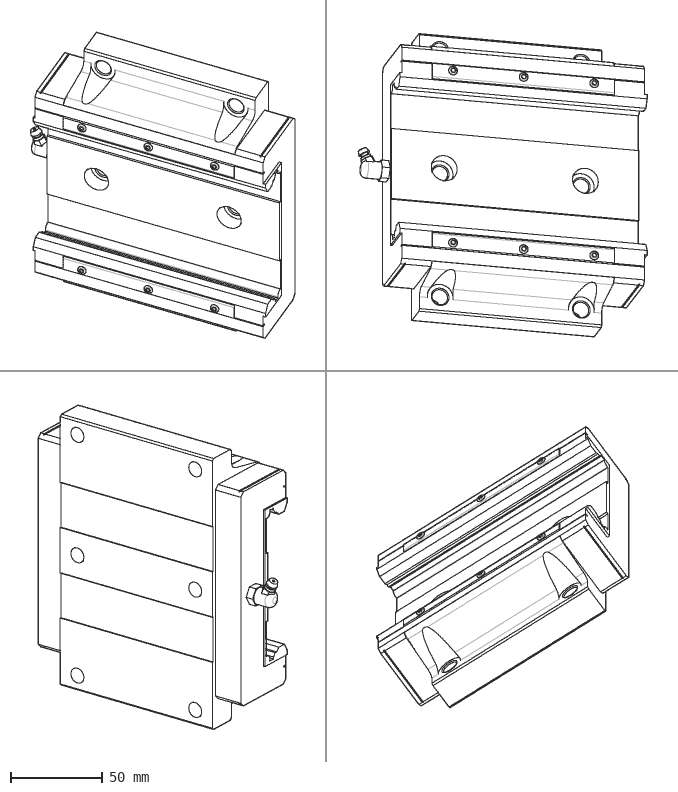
import cadquery as cq
import math


BODY_LENGTH = 103.4
BODY_WIDTH = 162.0
FLANGE_DEPTH = 17.8
FLANGE_CHAMFER = 1.1
FLANGE_ROOT = 69.0
FLANGE_FILLET = 4.7
LEG_SLOPE = 10.0
LEG_DEPTH = 44.9
LEG_FILLET = 4.0
RELIEF_INNER = 13.6
RELIEF_OUTER = 40.5
RELIEF_DEPTH = 0.6

CAP_LENGTH = 137.7
CAP_WIDTH = 128.0
CAP_BACK = 2.9
CAP_CHAMFER = 2.5
CAP_GROOVE_INSET = 2.3
CAP_GROOVE_WIDTH = 0.5
CAP_GROOVE_DEPTH = 0.5

LINER_LEFT = -69.8
LINER_RIGHT = 70.3
LINER_BACK = 24.0
LINER_WIDTH = 93.6
CHANNEL_DEPTH = 25.5
PAD_DEPTH = 26.7
PAD_WIDTH = 40.8
CHANNEL_HALF_WIDTH = 41.1
GROOVE_BACK = 28.8
GROOVE_FRONT = 32.0
GROOVE_FLOOR = 45.0
GROOVE_ROUND = 3.0
LIP_HALF_GAP = 39.7
LIP_CREST_BACK = 37.0
LIP_CREST_FRONT = 42.1
LIP_STEP = 41.8
LIP_STEP_BACK = 33.5
LIP_STEP_FRONT = 35.0
LIP_INNER_SHOULDER = 43.9
LIP_OUTER_SHOULDER = 44.2

STRIP_INNER = 44.7
STRIP_OUTER = 53.5
STRIP_FACE = 45.5
STRIP_FILLET = 1.1
PARTING_WIDTH = 0.57
PARTING_DEPTH = 1.6
SCREW_HALF_WIDTH = 50.2
SCREW_RADIUS = 2.5
SCREW_TOP = 46.7
SCREW_FILLET = 0.6
SOCKET_SIZE = 2.6
SOCKET_DEPTH = 0.6

HOLE_PITCH = 80.0
HOLE_HALF_WIDTH = 72.0
HOLE_RADIUS = 4.4
HOLE_CHAMFER = 0.6
COUNTERBORE_RADIUS = 7.3

FITTING_DEPTH = 14.0
NUT_ACROSS_CORNERS = 12.0
NUT_FACE = -73.2
ELBOW_RADIUS = 4.9
ELBOW_END = -83.9
ELBOW_ROUND = 3.0
NIPPLE_X = -77.6
NIPPLE_TILT = 26.0
COLLAR_ACROSS_CORNERS = 7.6
COLLAR_TOP = 7.0
SHOULDER_RADIUS = 2.9
SHOULDER_TOP = 8.5
NECK_RADIUS = 2.0
HEAD_BASE = 10.0
HEAD_BASE_RADIUS = 3.2
HEAD_TOP = 12.6
HEAD_TOP_RADIUS = 2.5
INLET_RADIUS = 0.6
INLET_DEPTH = 1.0

HOLE_XS = (-HOLE_PITCH / 2, HOLE_PITCH / 2)
SCREW_XS = (-HOLE_PITCH / 2, 0, HOLE_PITCH / 2)
SIDES = (-1, 1)


def box(x0, x1, depth0, depth1, z0, z1):
    """Box between two X values, two depths and two Z values."""
    block = cq.Workplane("XY").box(x1 - x0, depth1 - depth0, z1 - z0, centered=False)
    return block.translate((x0, -depth1, z0))


def extrude_section(half_outline, x0, x1):
    """Mirror (depth, z) points about Z = 0 and extrude the closed section along X."""
    mirrored = [(depth, -z) for depth, z in reversed(half_outline)]
    points = [(-depth, z) for depth, z in half_outline + mirrored]
    return cq.Workplane("YZ").polyline(points).close().extrude(x1 - x0).translate((x0, 0, 0))


def cylinder(radius, x, z, depth0, depth1):
    """Cylinder along Y between two depths."""
    return cq.Workplane("XZ", origin=(x, -depth0, z)).circle(radius).extrude(depth1 - depth0)


def parting_groove(side, half_length):
    """Narrow groove along the outer edge of a retainer strip."""
    z_mid = side * (STRIP_OUTER + PARTING_WIDTH / 2)
    return box(
        -half_length, half_length,
        LEG_DEPTH - PARTING_DEPTH, STRIP_FACE,
        z_mid - PARTING_WIDTH / 2, z_mid + PARTING_WIDTH / 2,
    )


def long_edges_at(solid, depth, half_z):
    """Select the pair of X-parallel edges at a depth and at Z = +/- half_z."""
    reach = 0.2
    selector = None
    for side in SIDES:
        corner = cq.selectors.BoxSelector(
            (-BODY_LENGTH, -depth - reach, side * half_z - reach),
            (BODY_LENGTH, -depth + reach, side * half_z + reach),
        )
        selector = corner if selector is None else selector + corner
    return solid.edges("|X").edges(selector)


def make_body():
    """Flanged body with sloping legs and two reliefs in the mounting face."""
    half_width = BODY_WIDTH / 2
    leg_corner = FLANGE_ROOT - (LEG_DEPTH - FLANGE_DEPTH) * math.tan(math.radians(LEG_SLOPE))
    body = extrude_section(
        [
            (0, half_width),
            (FLANGE_DEPTH, half_width),
            (FLANGE_DEPTH, FLANGE_ROOT),
            (LEG_DEPTH, leg_corner),
            (LEG_DEPTH, LINER_WIDTH / 2),
            (LINER_BACK, LINER_WIDTH / 2),
        ],
        -BODY_LENGTH / 2, BODY_LENGTH / 2,
    )
    for depth in (0, FLANGE_DEPTH):
        body = long_edges_at(body, depth, half_width).chamfer(FLANGE_CHAMFER)
    body = long_edges_at(body, FLANGE_DEPTH, FLANGE_ROOT).fillet(FLANGE_FILLET)
    body = long_edges_at(body, LEG_DEPTH, leg_corner).fillet(LEG_FILLET)
    for side in SIDES:
        z_low, z_high = sorted((side * RELIEF_INNER, side * RELIEF_OUTER))
        body = body.cut(box(-BODY_LENGTH / 2, BODY_LENGTH / 2, 0, RELIEF_DEPTH, z_low, z_high))
    return body


def make_caps():
    """C-shaped end caps, drawn as one length that the body sits inside."""
    half_length = CAP_LENGTH / 2
    half_width = CAP_WIDTH / 2
    caps = extrude_section(
        [
            (CAP_BACK, half_width - CAP_CHAMFER),
            (CAP_BACK + CAP_CHAMFER, half_width),
            (LEG_DEPTH - CAP_CHAMFER, half_width),
            (LEG_DEPTH, half_width - CAP_CHAMFER),
            (LEG_DEPTH, LINER_WIDTH / 2),
            (LINER_BACK, LINER_WIDTH / 2),
        ],
        -half_length, half_length,
    )
    groove_start = half_length - CAP_GROOVE_INSET - CAP_GROOVE_WIDTH
    for end in SIDES:
        x0, x1 = sorted((end * groove_start, end * (groove_start + CAP_GROOVE_WIDTH)))
        for side in SIDES:
            z0, z1 = sorted((side * half_width, side * (half_width - CAP_GROOVE_DEPTH)))
            caps = caps.cut(box(x0, x1, CAP_BACK, LEG_DEPTH, z0, z1))
    return caps


def make_liner():
    """Channel lining with a raised central pad and a grooved lip on each side."""
    blank = extrude_section(
        [
            (LINER_BACK, LINER_WIDTH / 2),
            (LEG_DEPTH, LINER_WIDTH / 2),
            (LEG_DEPTH, LIP_OUTER_SHOULDER),
            (LIP_CREST_FRONT, LIP_HALF_GAP),
            (LIP_CREST_BACK, LIP_HALF_GAP),
            (LIP_STEP_FRONT, LIP_STEP),
            (LIP_STEP_BACK, LIP_STEP),
            (GROOVE_FRONT, LIP_INNER_SHOULDER),
            (GROOVE_FRONT, GROOVE_FLOOR),
            (GROOVE_BACK, GROOVE_FLOOR),
            (GROOVE_BACK, CHANNEL_HALF_WIDTH),
            (CHANNEL_DEPTH, CHANNEL_HALF_WIDTH),
            (CHANNEL_DEPTH, PAD_WIDTH / 2),
            (PAD_DEPTH, PAD_WIDTH / 2),
        ],
        LINER_LEFT, LINER_RIGHT,
    )
    return long_edges_at(blank, GROOVE_BACK, CHANNEL_HALF_WIDTH).fillet(GROOVE_ROUND)


def make_strip(side):
    """Retainer strip standing slightly proud of the leg face."""
    z0, z1 = sorted((side * STRIP_INNER, side * STRIP_OUTER))
    strip = box(-BODY_LENGTH / 2, BODY_LENGTH / 2, LEG_DEPTH - PARTING_DEPTH, STRIP_FACE, z0, z1)
    inner_edge = "<Z" if side > 0 else ">Z"
    return strip.faces("<Y").edges(inner_edge).fillet(STRIP_FILLET)


def make_screw(x, z):
    """Button-head screw with a hexagon socket."""
    head = cylinder(SCREW_RADIUS, x, z, LEG_DEPTH, SCREW_TOP).faces("<Y").edges().fillet(SCREW_FILLET)
    socket = cq.Workplane("XZ", origin=(x, -(SCREW_TOP - SOCKET_DEPTH), z)).polygon(6, SOCKET_SIZE)
    return head.cut(socket.extrude(SOCKET_DEPTH))


def make_hole(x, z):
    """Counterbored through hole with a small chamfer at the counterbore floor."""
    drill = cylinder(HOLE_RADIUS, x, z, 0, FLANGE_DEPTH)
    counterbore = cylinder(COUNTERBORE_RADIUS, x, z, FLANGE_DEPTH, LEG_DEPTH)
    chamfer = (
        cq.Workplane("XZ", origin=(x, -FLANGE_DEPTH, z))
        .circle(HOLE_RADIUS + HOLE_CHAMFER)
        .extrude(-HOLE_CHAMFER, taper=45)
    )
    return drill.union(counterbore).union(chamfer)


def make_nipple():
    """Hexagon collar, shoulder, neck and tapered head about +Z, starting at the elbow centre."""
    collar = cq.Workplane("XY").polygon(6, COLLAR_ACROSS_CORNERS).extrude(COLLAR_TOP)
    turned = (
        cq.Workplane("XZ")
        .polyline([
            (0, 0),
            (SHOULDER_RADIUS, 0),
            (SHOULDER_RADIUS, SHOULDER_TOP),
            (NECK_RADIUS, SHOULDER_TOP),
            (NECK_RADIUS, HEAD_BASE),
            (HEAD_BASE_RADIUS, HEAD_BASE),
            (HEAD_TOP_RADIUS, HEAD_TOP),
            (INLET_RADIUS, HEAD_TOP),
            (INLET_RADIUS, HEAD_TOP - INLET_DEPTH),
            (0, HEAD_TOP - INLET_DEPTH),
        ])
        .close()
        .revolve(360, (0, 0, 0), (0, 1, 0))
    )
    return collar.union(turned)


def make_fitting():
    """Angled grease fitting on the -X end."""
    cap_face = -CAP_LENGTH / 2
    end_plane = cq.Workplane("YZ", origin=(cap_face, -FITTING_DEPTH, 0))
    nut = end_plane.polygon(6, NUT_ACROSS_CORNERS).extrude(NUT_FACE - cap_face)
    elbow = end_plane.circle(ELBOW_RADIUS).extrude(ELBOW_END - cap_face)
    elbow = elbow.faces("<X").edges().fillet(ELBOW_ROUND)
    nipple = make_nipple().rotate((0, 0, 0), (0, 1, 0), -NIPPLE_TILT)
    return nut.union(elbow).union(nipple.translate((NIPPLE_X, -FITTING_DEPTH, 0)))


result = make_body().union(make_caps()).union(make_liner())

for side in SIDES:
    result = result.cut(parting_groove(side, CAP_LENGTH / 2))
    result = result.union(make_strip(side))
    for x in SCREW_XS:
        result = result.union(make_screw(x, side * SCREW_HALF_WIDTH))

for x in HOLE_XS:
    for z in (-HOLE_HALF_WIDTH, 0, HOLE_HALF_WIDTH):
        result = result.cut(make_hole(x, z))

result = result.union(make_fitting())